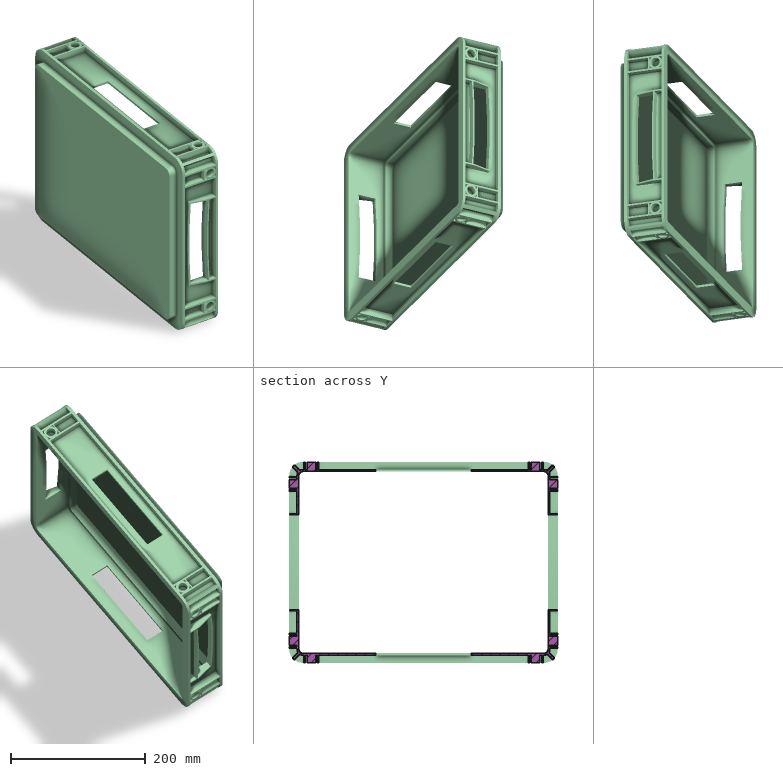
import cadquery as cq
import math

length = 399.0
height = 299.0
depth = 75.0
base_depth = 12.0
corner_radius = 20.5
open_rim = 4.0
floor_rim = 4.8
recess_depth = 11.0
wall = 3.5
base_inset = 17.5
base_radius = 9.0

rib = 2.8
corner_rib = 4.5
cell_start = 24.5
cell_end = 41.5
cross_rib = 1.5
cell_width = 19.5

boss_radius = 10.0
boss_hole_radius = 6.8

opening_length = 140.5
wall_opening_top = 18.8
wall_opening_bottom = 47.0
grip_top = 17.0
grip_bottom = 44.5
grip_sag = 2.5
grip_lip = 2.5
grip_lip_low = 4.5

tub_inset = recess_depth + wall
tub_radius = corner_radius - recess_depth
cavity_radius = tub_radius - wall
frame_start = base_depth + floor_rim
frame_end = depth - open_rim
cell_bottom = frame_end - cell_width


def rounded_slab(inset, radius, y_start, y_end):
    """Plate with rounded corners, inset from the crate outline."""
    slab = cq.Workplane("XY").box(length - 2 * inset, y_end - y_start, height - 2 * inset)
    return slab.edges("|Y").fillet(radius).translate((0, (y_start + y_end) / 2, 0))


def block(x_range, y_range, z_range):
    """Box between two limits on each axis."""
    (x0, x1), (y0, y1), (z0, z1) = x_range, y_range, z_range
    return cq.Workplane("XY").box(x1 - x0, y1 - y0, z1 - z0, centered=False).translate((x0, y0, z0))


def boss_cell(wall_length):
    """Ribs and screw boss near the +X end of a wall whose outer face is at Z = 0."""
    end = wall_length / 2
    down = (-recess_depth, 0)
    frame = (frame_start, frame_end)
    cell = (end - cell_end, end - cell_start)
    center = (cell[0] + cell[1]) / 2
    boss_y = frame_end - cell_width / 2
    boss_plane = cq.Workplane("XY", origin=(center, boss_y, -recess_depth))
    boss = boss_plane.circle(boss_radius).circle(boss_hole_radius).extrude(recess_depth)
    boss = boss.intersect(block(cell, (cell_bottom, frame_end), down))
    outer_rib = block((cell[1], cell[1] + rib), frame, down)
    inner_rib = block((cell[0] - rib, cell[0]), frame, down)
    divider = block(cell, (cell_bottom - cross_rib, cell_bottom), down)
    return outer_rib.union(inner_rib).union(divider).union(boss)


def wall_ribs(wall_length):
    """Both boss cells of one wall, with the outer face at Z = 0."""
    cell = boss_cell(wall_length)
    return cell.union(cell.mirror("YZ"))


def diagonal_rib(side_x, side_z):
    """Rib from the tub corner out to the rounded corner of the flanges."""
    center_x = side_x * (length / 2 - corner_radius)
    center_z = side_z * (height / 2 - corner_radius)
    reach = (tub_radius - wall / 2, corner_radius + wall)
    bar = block(reach, (frame_start, frame_end), (-corner_rib / 2, corner_rib / 2))
    angle = -math.degrees(math.atan2(side_z, side_x))
    return bar.rotate((0, 0, 0), (0, 1, 0), angle).translate((center_x, 0, center_z))


def grip_profile(offset, thickness):
    """Bowed grip outline grown by an offset, as a slab across X = 0."""
    half = opening_length / 2 + offset
    top = depth - grip_top + offset
    bottom = depth - grip_bottom - offset
    outline = (
        cq.Workplane("YZ")
        .moveTo(top, -half)
        .threePointArc((top - grip_sag, 0), (top, half))
        .lineTo(bottom, half)
        .threePointArc((bottom - grip_sag, 0), (bottom, -half))
        .close()
    )
    return outline.extrude(thickness)


def end_grip():
    """Lip around the hand opening of the -X wall, with legs up to the open-side flange.

    The lip is flush with the flanges beside the opening's upper edge and slopes down toward the floor.
    """
    lip = grip_profile(grip_lip, recess_depth)
    half = opening_length / 2
    for side in (-1, 1):
        limits = sorted((side * half, side * (half + grip_lip)))
        leg = block((0, recess_depth), (depth - grip_bottom, frame_end), limits)
        lip = lip.union(leg)
    slope_start = depth - grip_top - grip_sag
    slope_end = depth - grip_bottom - grip_sag - grip_lip
    slope_rise = recess_depth - grip_lip_low
    slope = cq.Workplane("XY").polyline([(0, slope_start), (slope_rise, slope_end), (0, slope_end)]).close()
    lip = lip.cut(slope.extrude(half + grip_lip, both=True))
    return lip.translate((-length / 2, 0, 0))


crate = rounded_slab(0, corner_radius, base_depth, frame_start)
crate = crate.union(rounded_slab(recess_depth, tub_radius, base_depth, depth))
crate = crate.union(rounded_slab(0, corner_radius, frame_end, depth))
crate = crate.union(rounded_slab(base_inset, base_radius, 0, base_depth))

long_wall = wall_ribs(length).translate((0, 0, height / 2))
end_wall = wall_ribs(height).translate((0, 0, length / 2)).rotate((0, 0, 0), (0, 1, 0), 90)
grip = end_grip()
crate = crate.union(long_wall).union(long_wall.mirror("XY"))
crate = crate.union(end_wall).union(end_wall.mirror("YZ"))
crate = crate.union(grip).union(grip.mirror("YZ"))

corner_ribs = diagonal_rib(1, 1)
for sides in ((1, -1), (-1, 1), (-1, -1)):
    corner_ribs = corner_ribs.union(diagonal_rib(*sides))
crate = crate.union(corner_ribs.intersect(rounded_slab(0, corner_radius, base_depth, depth)))

crate = crate.cut(rounded_slab(tub_inset, cavity_radius, frame_start, depth))
crate = crate.cut(rounded_slab(base_inset + wall, base_radius - wall, floor_rim, frame_start))

crate = crate.cut(grip_profile(0, length).translate((-length / 2, 0, 0)))
half_opening = opening_length / 2
opening_x = (-half_opening, half_opening)
opening_y = (depth - wall_opening_bottom, depth - wall_opening_top)
crate = crate.cut(block(opening_x, opening_y, (-height / 2, height / 2)))

result = crate